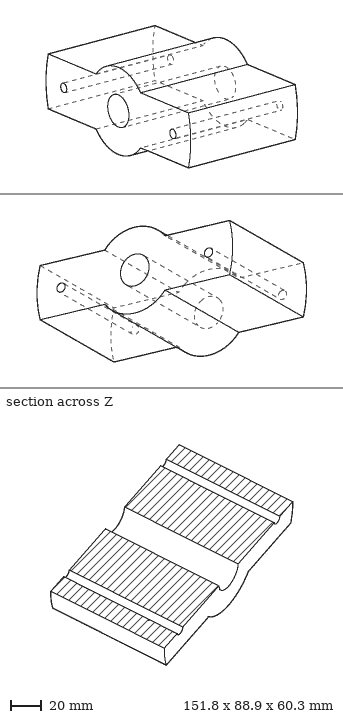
import cadquery as cq

length_y = 88.9
end_diameter = 151.75
hub_diameter = 60.325
arm_height = 38.1
bore_diameter = 22.225
pin_hole_diameter = 6.35
pin_hole_spacing = 114.3


def cylinder_along_y(diameter, x=0):
    """Full-length cylinder parallel to Y, centred at the given X."""
    return (
        cq.Workplane("XZ")
        .center(x, 0)
        .circle(diameter / 2)
        .extrude(length_y / 2, both=True)
    )


def make_arms():
    """Flat bar whose two ends are rounded about the hub axis."""
    bar = cq.Workplane("XY").box(end_diameter, length_y, arm_height)
    return bar.intersect(cylinder_along_y(end_diameter))


def make_body():
    """Arms joined to the central hub."""
    return make_arms().union(cylinder_along_y(hub_diameter))


def cut_holes(body):
    """Central bore and one pin hole through each arm."""
    body = body.cut(cylinder_along_y(bore_diameter))
    for side in (-1, 1):
        body = body.cut(cylinder_along_y(pin_hole_diameter, side * pin_hole_spacing / 2))
    return body


result = cut_holes(make_body())